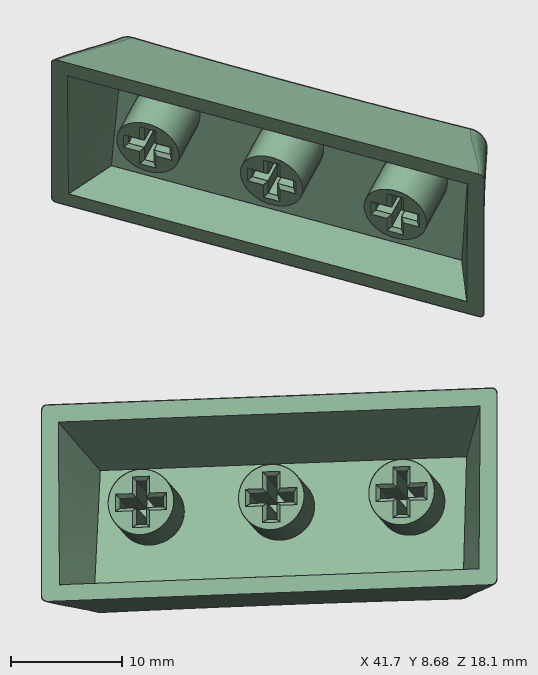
import cadquery as cq
import math

RIM_LENGTH = 41.7
RIM_HEIGHT = 18.1
RIM_CORNER_RADIUS = 0.5
TOP_LENGTH = 35.85
TOP_HEIGHT = 14.4
TOP_CORNER_RADIUS = 1.75
TOP_LOW_Y = 5.95
TOP_HIGH_Y = 8.8
TOP_EDGE_FILLET = 0.38
DISH_DEPTH = 0.45

WALL = 1.5
RIM_WALL_TOP = 1.63
MOUTH_LOW_LENGTH = 38.4
MOUTH_HIGH_LENGTH = 38.6
FLOOR_LOW_LENGTH = 33.78
FLOOR_HIGH_LENGTH = 33.53
FLOOR_HIGH_Z = 13.4

STEM_SPACING = 11.93
STEM_DIAMETER = 6.0
STEM_RECESS = 1.0
CROSS_LENGTH = 4.0
CROSS_WIDTH = 0.9
LEAD_IN = 0.35

TILT = math.atan2(TOP_HIGH_Y - TOP_LOW_Y, TOP_HEIGHT)
OVERSHOOT = 2.1
LOFT_STEPS = 4


def facing_plane(y, z, tilt=0.0):
    """Plane through (0, y, z) with local x along X, local y along Z leaned by tilt towards +Y."""
    normal = (0, -math.cos(tilt), math.sin(tilt))
    return cq.Plane(origin=(0, y, z), xDir=(1, 0, 0), normal=normal)


def placed(sketch, plane):
    return sketch.moved(cq.Location(plane))


def loft_through(sections, ruled=False):
    return cq.Workplane().placeSketch(*sections).loft(ruled=ruled)


def between(start, end, fraction):
    return start + (end - start) * fraction


def outer_section(fraction):
    """Section of the cap at a fraction of the way from the rim to the top plane."""
    length = between(RIM_LENGTH, TOP_LENGTH, fraction)
    height = between(RIM_HEIGHT, TOP_HEIGHT, fraction)
    low_y = TOP_LOW_Y * fraction
    rise = (TOP_HIGH_Y - TOP_LOW_Y) * fraction
    eased = fraction**2 * (3 - 2 * fraction)
    radius = between(RIM_CORNER_RADIUS, TOP_CORNER_RADIUS, eased)
    outline = cq.Sketch().rect(length, math.hypot(height, rise)).vertices().fillet(radius)
    return placed(outline, facing_plane(low_y + rise / 2, height / 2, math.atan2(rise, height)))


def outer_body():
    body = loft_through([outer_section(i / LOFT_STEPS) for i in range(LOFT_STEPS + 1)])

    dish_radius = (TOP_LENGTH**2 / 4 + DISH_DEPTH**2) / (2 * DISH_DEPTH)
    top_plane = facing_plane((TOP_LOW_Y + TOP_HIGH_Y) / 2, TOP_HEIGHT / 2, TILT)
    dish_length = TOP_HEIGHT / math.cos(TILT) + 2 * OVERSHOOT
    dish_start = top_plane.toWorldCoords((0, -dish_length / 2, DISH_DEPTH - dish_radius))
    dish = cq.Solid.makeCylinder(dish_radius, dish_length, dish_start, top_plane.yDir)
    body = body.cut(cq.Workplane(dish))
    return body.faces(">Y").edges().fillet(TOP_EDGE_FILLET)


def trapezoid(low_length, high_length, height):
    low = low_length / 2
    high = high_length / 2
    half = height / 2
    return cq.Sketch().polygon([(-low, -half), (low, -half), (high, half), (-high, half), (-low, -half)])


def cavity_body():
    mouth_high_z = RIM_HEIGHT - RIM_WALL_TOP
    mouth = trapezoid(MOUTH_LOW_LENGTH, MOUTH_HIGH_LENGTH, mouth_high_z - WALL)
    mouth_plane = facing_plane(0, (mouth_high_z + WALL) / 2)

    floor_mid_z = (WALL + FLOOR_HIGH_Z) / 2
    floor_mid_y = TOP_LOW_Y - WALL + floor_mid_z * math.tan(TILT)
    floor = trapezoid(FLOOR_LOW_LENGTH, FLOOR_HIGH_LENGTH, (FLOOR_HIGH_Z - WALL) / math.cos(TILT))
    floor_plane = facing_plane(floor_mid_y, floor_mid_z, TILT)
    return loft_through([placed(mouth, mouth_plane), placed(floor, floor_plane)], ruled=True)


def cross(margin):
    """Cross outline, widened on every side by margin."""
    tip = CROSS_LENGTH / 2 + margin
    side = CROSS_WIDTH / 2 + margin
    points = []
    for cos, sin in ((1, 0), (0, 1), (-1, 0), (0, -1)):
        for x, y in ((tip, -side), (tip, side), (side, side)):
            points.append((x * cos - y * sin, x * sin + y * cos))
    return cq.Sketch().polygon(points + points[:1])


def stem():
    face_plane = facing_plane(STEM_RECESS, RIM_HEIGHT / 2)
    lead_in_end = facing_plane(STEM_RECESS + LEAD_IN, RIM_HEIGHT / 2)
    face = cq.Workplane(face_plane)
    post = face.circle(STEM_DIAMETER / 2).extrude(-TOP_HIGH_Y)
    socket = face.placeSketch(cross(0)).extrude(-TOP_HIGH_Y)
    lead_in_sections = [placed(cross(LEAD_IN), face_plane), placed(cross(0), lead_in_end)]
    lead_in = loft_through(lead_in_sections, ruled=True)
    return post.cut(socket).cut(lead_in)


cavity = cavity_body()
centre_stem = stem()
result = outer_body().cut(cavity)
for position in (-1, 0, 1):
    moved_stem = centre_stem.translate((position * STEM_SPACING, 0, 0))
    result = result.union(moved_stem.intersect(cavity))